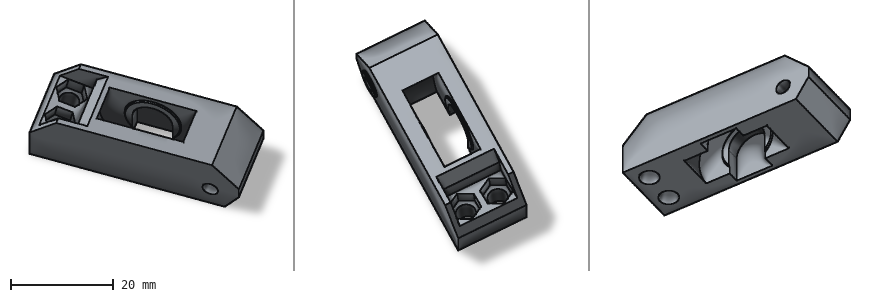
import cadquery as cq
import math

length = 43.0
width = 15.0
height = 12.5
mid_y = width / 2
top_chamfer = 5.5
nose_x = 40.08
nose_z = 4.35

pivot_x = 37.1
pivot_z = 4.55
pivot_diameter = 3.2
boss_diameter = 5.75
boss_height = 0.47
boss_chamfer = 0.25

cavity_x = length / 2
cavity_z = 5.75
cavity_width = 7.9
opening_length = 17.75
cavity_radius = math.hypot(opening_length / 2, height - cavity_z)

ring_diameter = 11.7
ring_height = 0.3
ring_chamfer = 0.25
slot_width = 8.25
slot_depth = 2.55

tilt = 10.0
seat_width = 12.6
seat_start_x = 1.6
seat_wall_x = 8.6
shoulder_x = 9.15
shoulder_z = 10.6
seat_end_x = 11.5

nut_x = 5.0
nut_spacing = 6.95
nut_flats = 5.6
nut_depth = 2.92
screw_diameter = 4.0


def disc_along_y(x, z, diameter, start_y, thickness):
    """Cylinder whose axis runs along +Y from start_y."""
    plane = cq.Plane(origin=(x, start_y, z), xDir=(1, 0, 0), normal=(0, 1, 0))
    return cq.Workplane(plane).circle(diameter / 2).extrude(thickness)


def make_block():
    side_profile = [
        (0, 0),
        (nose_x, 0),
        (length, nose_z),
        (length, height - top_chamfer),
        (length - top_chamfer, height),
        (top_chamfer, height),
        (0, height - top_chamfer),
    ]
    return cq.Workplane("XZ").polyline(side_profile).close().extrude(-width)


def make_cavity():
    cavity_start = mid_y - cavity_width / 2
    cavity = disc_along_y(cavity_x, cavity_z, 2 * cavity_radius, cavity_start, cavity_width)
    front_ring = disc_along_y(cavity_x, cavity_z, ring_diameter, cavity_start, ring_height)
    front_ring = front_ring.faces(">Y").chamfer(ring_chamfer)
    back_ring = front_ring.mirror("XZ", (0, mid_y, 0))
    slot_span = cavity_width + 2 * slot_depth
    slot_top = disc_along_y(cavity_x, cavity_z, slot_width, mid_y - slot_span / 2, slot_span)
    slot_leg = cq.Workplane("XY").center(cavity_x, mid_y).rect(slot_width, slot_span).extrude(cavity_z)
    return cavity.cut(front_ring).cut(back_ring).union(slot_top).union(slot_leg)


def seat_z(x):
    """Height of the tilted seat floor at x."""
    start_z = height - top_chamfer + seat_start_x
    return start_z - (x - seat_start_x) * math.tan(math.radians(tilt))


def make_seat():
    profile = [
        (seat_start_x, seat_z(seat_start_x)),
        (seat_wall_x, seat_z(seat_wall_x)),
        (shoulder_x, shoulder_z),
        (seat_end_x, height),
        (seat_start_x, height),
    ]
    seat = cq.Workplane("XZ").polyline(profile).close().extrude(-seat_width)
    return seat.translate((0, mid_y - seat_width / 2, 0))


def make_nut_holes():
    angle = math.radians(tilt)
    seat_plane = cq.Plane(
        origin=(nut_x, mid_y, seat_z(nut_x)),
        xDir=(math.cos(angle), 0, -math.sin(angle)),
        normal=(math.sin(angle), 0, math.cos(angle)),
    )
    centers = [(0, -nut_spacing / 2), (0, nut_spacing / 2)]
    nut_corners = nut_flats / math.cos(math.pi / 6)
    seat = cq.Workplane(seat_plane).pushPoints(centers)
    nuts = seat.polygon(6, nut_corners).extrude(-nut_depth)
    screws = seat.circle(screw_diameter / 2).extrude(-height)
    return nuts.union(screws)


boss = disc_along_y(pivot_x, pivot_z, boss_diameter, width, boss_height).faces(">Y").chamfer(boss_chamfer)
pivot_hole = disc_along_y(pivot_x, pivot_z, pivot_diameter, 0, width + boss_height)

result = make_block().union(boss).cut(pivot_hole)
result = result.cut(make_cavity()).cut(make_seat()).cut(make_nut_holes())